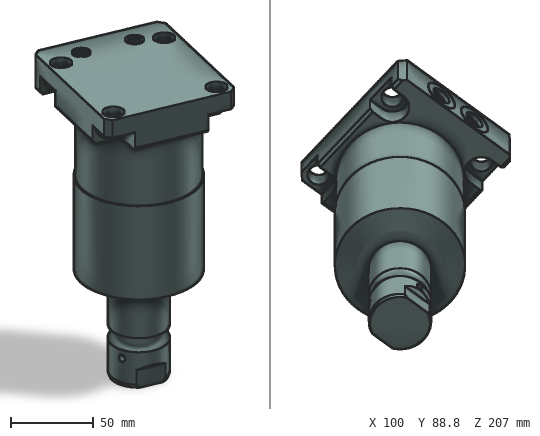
import cadquery as cq

total_height = 207.0

plate_width = 88.8
plate_back = 55.5
plate_front = 44.5
plate_thickness = 25.0
corner_chamfer = 4.0
bottom_chamfer = 2.0
bolt_offset = 35.2
bolt_diameter = 13.5
seat_diameter = 20.3
seat_height = 12.8

collar_radius = 39.0
barrel_radius = 39.7
barrel_tip_radius = 26.0
barrel_top = 137.5
barrel_cone_top = 72.9
barrel_bottom = 69.0

shaft_radius = 19.0
groove_top = 34.8
groove_bottom = 25.0
groove_depth = 1.5
end_chamfer_height = 2.5
end_chamfer_inset = 0.8
flat_offset = 16.4
flat_height = 12.6
pin_hole_diameter = 4.8
pin_hole_depth = 2.5
pin_hole_height = 19.3
pin_hole_count = 3
first_pin_hole_angle = 180

port_spacing = 26.0
port_drop = 12.8
port_face_diameter = 21.1
port_face_depth = 0.2
port_mouth_diameter = 12.5
port_step_diameter = 10.8
port_core_diameter = 9.5
port_step_depth = 3.1
port_depth = 12.5

seal_port_x = -41.6
seal_port_spacing = 36.5
seal_mouth_diameter = 11.4
seal_seat_diameter = 8.0
seal_bore_diameter = 6.8
seal_tip_diameter = 2.5
ring_crest_depth = 0.1
ring_edge_depth = 0.52
seal_bore_depth = 1.2
seal_tip_depth = 2.5

plate_bottom = total_height - plate_thickness


def revolve_profile(points):
    """Solid of revolution about Z from a closed outline of (radius, height) points."""
    return cq.Workplane("XZ").polyline(points).close().revolve(360, (0, 0), (0, 1))


def make_plate():
    plate = (
        cq.Workplane("XY", origin=(0, 0, plate_bottom))
        .center((plate_front - plate_back) / 2, 0)
        .rect(plate_front + plate_back, plate_width)
        .extrude(plate_thickness)
        .edges("|Z").chamfer(corner_chamfer)
    )
    side_y = plate_width / 2
    long_bevel = (
        cq.Workplane("YZ", origin=(-plate_back, 0, plate_bottom))
        .polyline([(side_y, 0), (side_y, bottom_chamfer), (side_y - bottom_chamfer, 0)])
        .close()
        .extrude(plate_back + plate_front)
    )
    front_bevel = (
        cq.Workplane("XZ", origin=(0, side_y, plate_bottom))
        .polyline([
            (plate_front, 0),
            (plate_front, bottom_chamfer),
            (plate_front - bottom_chamfer, 0),
        ])
        .close()
        .extrude(plate_width)
    )
    return plate.cut(long_bevel).cut(long_bevel.mirror("XZ")).cut(front_bevel)


def make_bolt_seat(x_side, y_side):
    """Bolt hole with a seat that opens to the nearest long side, and to +X at the +X corners."""
    bolt_x = x_side * bolt_offset
    base = cq.Workplane("XY", origin=(bolt_x, y_side * bolt_offset, plate_bottom))
    reach = plate_width / 2
    cutter = base.circle(bolt_diameter / 2).extrude(plate_thickness)
    cutter = cutter.union(base.circle(seat_diameter / 2).extrude(seat_height))
    cutter = cutter.union(
        base.center(0, y_side * reach / 2).rect(seat_diameter, reach).extrude(seat_height)
    )
    if x_side > 0:
        across = reach + seat_diameter / 2
        corner = (
            base.center(reach / 2, y_side * (across - seat_diameter) / 2)
            .rect(reach, across)
            .extrude(seat_height)
        )
        cutter = cutter.union(corner)
    return cutter


def make_barrel():
    return revolve_profile([
        (0, plate_bottom),
        (collar_radius, plate_bottom),
        (collar_radius, barrel_top),
        (barrel_radius, barrel_top),
        (barrel_radius, barrel_cone_top),
        (barrel_tip_radius, barrel_bottom),
        (0, barrel_bottom),
    ])


def make_shaft():
    groove_middle = (groove_top + groove_bottom) / 2
    return (
        cq.Workplane("XZ")
        .moveTo(0, barrel_bottom)
        .lineTo(shaft_radius, barrel_bottom)
        .lineTo(shaft_radius, groove_top)
        .threePointArc((shaft_radius - groove_depth, groove_middle), (shaft_radius, groove_bottom))
        .lineTo(shaft_radius, end_chamfer_height)
        .lineTo(shaft_radius - end_chamfer_inset, 0)
        .lineTo(0, 0)
        .close()
        .revolve(360, (0, 0), (0, 1))
    )


def make_wrench_flat():
    """Cutter for the +X flat; its upper end runs out at 45 degrees."""
    run_out = shaft_radius
    return (
        cq.Workplane("XZ", origin=(0, shaft_radius, 0))
        .polyline([
            (flat_offset, 0),
            (flat_offset, flat_height),
            (flat_offset + run_out, flat_height + run_out),
            (flat_offset + run_out, 0),
        ])
        .close()
        .extrude(2 * shaft_radius)
    )


def make_pin_hole(angle):
    """Radial conical dimple in the shaft, as wide as pin_hole_diameter at the shaft surface."""
    radius = pin_hole_diameter / 2
    overshoot = 2.0
    tip = shaft_radius - pin_hole_depth
    outer = tip + overshoot * pin_hole_depth
    hole = (
        cq.Workplane("XY")
        .polyline([(tip, 0), (outer, overshoot * radius), (outer, 0)])
        .close()
        .revolve(360, (0, 0), (1, 0))
    )
    return hole.rotate((0, 0, 0), (0, 0, 1), angle).translate((0, 0, pin_hole_height))


def make_side_port():
    """Blind bore with a tapered mouth, entering at Z = 0 and running down."""
    face = -port_face_depth
    step_bevel = (port_step_diameter - port_core_diameter) / 2
    return revolve_profile([
        (0, 0),
        (port_face_diameter / 2, 0),
        (port_face_diameter / 2, face),
        (port_mouth_diameter / 2, face),
        (port_step_diameter / 2, -port_step_depth),
        (port_core_diameter / 2, -port_step_depth - step_bevel),
        (port_core_diameter / 2, -port_depth),
        (0, -port_depth),
    ])


def make_seal_port():
    """Stepped blind bore ringed by a rounded seal, entering at Z = 0 and running down."""
    ring_middle = (seal_mouth_diameter + seal_seat_diameter) / 4
    return (
        cq.Workplane("XZ")
        .lineTo(seal_mouth_diameter / 2, 0)
        .lineTo(seal_mouth_diameter / 2, -ring_edge_depth)
        .threePointArc((ring_middle, -ring_crest_depth), (seal_seat_diameter / 2, -ring_edge_depth))
        .lineTo(seal_bore_diameter / 2, -ring_edge_depth)
        .lineTo(seal_bore_diameter / 2, -seal_bore_depth)
        .lineTo(seal_tip_diameter / 2, -seal_bore_depth)
        .lineTo(seal_tip_diameter / 2, -seal_tip_depth)
        .lineTo(0, -seal_tip_depth)
        .close()
        .revolve(360, (0, 0), (0, 1))
    )


result = make_plate()
for x_side in (-1, 1):
    for y_side in (-1, 1):
        result = result.cut(make_bolt_seat(x_side, y_side))

side_port = make_side_port().rotate((0, 0, 0), (0, 1, 0), -90)
seal_port = make_seal_port()
for side in (-1, 1):
    port_place = (-plate_back, side * port_spacing / 2, total_height - port_drop)
    seal_place = (seal_port_x, side * seal_port_spacing / 2, total_height)
    result = result.cut(side_port.translate(port_place))
    result = result.cut(seal_port.translate(seal_place))

result = result.union(make_barrel()).union(make_shaft())

wrench_flat = make_wrench_flat()
result = result.cut(wrench_flat).cut(wrench_flat.mirror("YZ"))

for index in range(pin_hole_count):
    result = result.cut(make_pin_hole(first_pin_hole_angle + index * 360 / pin_hole_count))